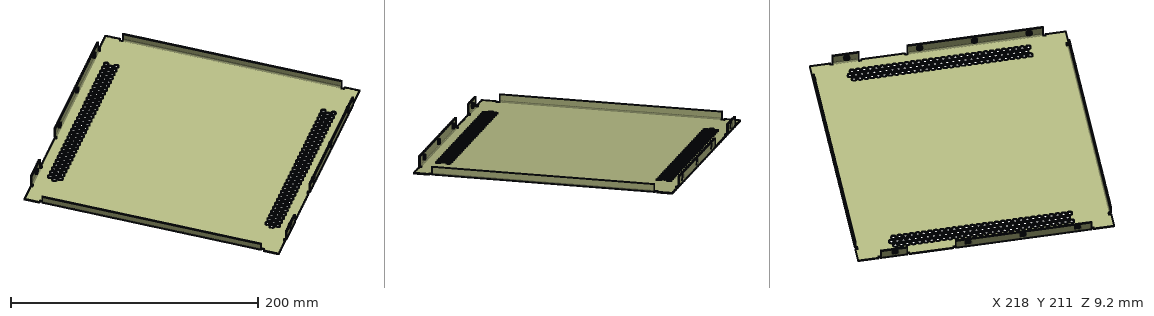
import cadquery as cq
import math

overall_width = 218.0
overall_depth = 211.0
overall_height = 9.2

sheet = 0.95
bend_inner_radius = 0.7
bend_outer_radius = bend_inner_radius + sheet

side_edge_inset = 0.9
end_edge_inset = 0.2
panel_width = overall_width - 2 * side_edge_inset
panel_depth = overall_depth - 2 * end_edge_inset

end_tab_length = 186.2
end_tab_height = 7.0

side_tab_reach = 86.5
long_tab = (-25.0, side_tab_reach)
short_tab = (-side_tab_reach, -65.0)

relief_depth = 2.2
end_relief_width = 2.5
side_relief_width = 2.0

screw_hole_diameter = 3.7
screw_collar_diameter = 4.5
screw_collar_projection = 1.0
screw_collar_depth = sheet + screw_collar_projection
screw_mouth_radius = 0.98
screw_height = 5.2
screw_positions = (-75.0, -15.0, 30.0, 75.0)

vent_diameter = 4.0
vents_per_column = 30
vent_first_row = 72.4
vent_row_span = 145.0
vent_pitch = vent_row_span / (vents_per_column - 1)
vent_column_spacing = vent_pitch * math.sin(math.radians(60))
vent_center_x = 92.5


def make_panel():
    return cq.Workplane("XY").box(panel_width, panel_depth, sheet, centered=(True, True, False))


def cut_reliefs(panel):
    """Notch the panel from one relief outside each tab to the other, deeper than the bend."""
    for side in (-1, 1):
        slot = cq.Workplane("XY").box(
            end_tab_length + 2 * end_relief_width, 2 * relief_depth, sheet, centered=(True, True, False)
        )
        panel = panel.cut(slot.translate((0, side * overall_depth / 2, 0)))
        for low, high in (long_tab, short_tab):
            slot = cq.Workplane("XY").box(
                2 * relief_depth, high - low + 2 * side_relief_width, sheet, centered=(True, True, False)
            )
            panel = panel.cut(slot.translate((side * overall_width / 2, (low + high) / 2, 0)))
    return panel


def make_tab(plane, outer, height, start, length):
    """Bent-up strip whose outer face stands at `outer` along the plane's local X; it runs from
    `start` along the bend, toward +X for an end tab ("YZ") and toward -Y for a side tab ("XZ").
    """
    root = outer - relief_depth
    bend_start = outer - bend_outer_radius
    diagonal = math.sqrt(0.5)
    return (
        cq.Workplane(plane)
        .moveTo(root, 0)
        .lineTo(bend_start, 0)
        .threePointArc(
            (bend_start + bend_outer_radius * diagonal, bend_outer_radius * (1 - diagonal)),
            (outer, bend_outer_radius),
        )
        .lineTo(outer, height)
        .lineTo(outer - sheet, height)
        .lineTo(outer - sheet, bend_outer_radius)
        .threePointArc(
            (bend_start + bend_inner_radius * diagonal, bend_outer_radius - bend_inner_radius * diagonal),
            (bend_start, sheet),
        )
        .lineTo(root, sheet)
        .close()
        .extrude(length)
        .translate((0, start, 0) if plane == "XZ" else (start, 0, 0))
    )


def make_end_tab():
    return make_tab("YZ", overall_depth / 2, end_tab_height, -end_tab_length / 2, end_tab_length)


def make_screw_bore():
    """Hole along the X axis from the plane X = 0 inward, flaring at its mouth with a round edge."""
    hole_radius = screw_hole_diameter / 2
    mouth = screw_mouth_radius
    diagonal = math.sqrt(0.5)
    return (
        cq.Workplane("XY")
        .lineTo(0, hole_radius + mouth)
        .threePointArc(
            (-mouth * (1 - diagonal), hole_radius + mouth * (1 - diagonal)),
            (-mouth, hole_radius),
        )
        .lineTo(-screw_collar_depth, hole_radius)
        .lineTo(-screw_collar_depth, 0)
        .close()
        .revolve(360, (0, 0, 0), (1, 0, 0))
    )


def make_side_tabs():
    """Long and short tabs of the +X edge, with their flanged screw holes."""
    tabs = cq.Workplane("XY")
    for low, high in (long_tab, short_tab):
        tabs = tabs.add(make_tab("XZ", overall_width / 2, overall_height, high, high - low))
    tabs = tabs.combine()

    collar = cq.Workplane("YZ").circle(screw_collar_diameter / 2).extrude(-screw_collar_depth)
    bore = make_screw_bore()
    for y in screw_positions:
        center = (overall_width / 2, y, screw_height)
        tabs = tabs.union(collar.translate(center)).cut(bore.translate(center))
    return tabs


def vent_points():
    """Centers of the vents on both sides; the middle columns sit half a pitch lower."""
    points = []
    for side in (-1, 1):
        for column in (-1, 0, 1):
            stagger = -vent_pitch / 2 if column == 0 else 0
            x = side * vent_center_x + column * vent_column_spacing
            points += [(x, vent_first_row + stagger - row * vent_pitch) for row in range(vents_per_column)]
    return points


end_tab = make_end_tab()
side_tabs = make_side_tabs()

tray = (
    cut_reliefs(make_panel())
    .union(end_tab)
    .union(end_tab.mirror("XZ"))
    .union(side_tabs)
    .union(side_tabs.mirror("YZ"))
)
vents = cq.Workplane("XY").pushPoints(vent_points()).circle(vent_diameter / 2).extrude(sheet)
result = tray.cut(vents)